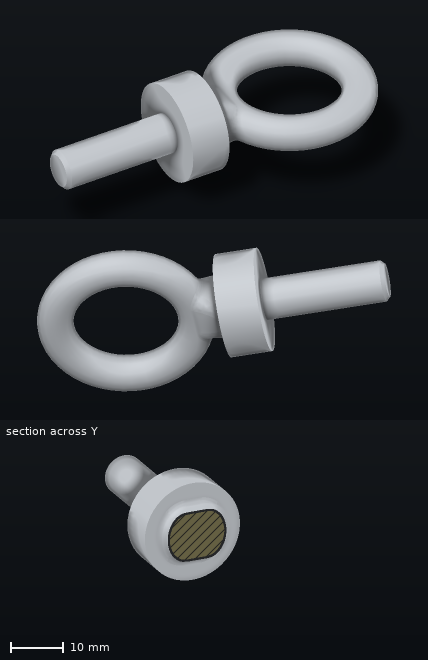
import cadquery as cq

shank_diameter = 8.0
shank_length = 24.0
shank_chamfer = 0.75

collar_diameter = 20.0
collar_height = 8.0

eye_inner_diameter = 20.0
eye_wire_diameter = 7.0
eye_gap = 2.0
eye_centre_radius = (eye_inner_diameter + eye_wire_diameter) / 2
eye_outer_radius = eye_inner_diameter / 2 + eye_wire_diameter
eye_centre_y = collar_height + eye_gap + eye_outer_radius

neck_diameter = 12.0
neck_height = eye_gap + eye_wire_diameter / 2
neck_top_y = collar_height + neck_height
neck_base_thickness = 11.5
neck_top_thickness = 6.9
flat_edge_fillet = 3.0
collar_fillet = 1.5
eye_fillet = 1.5


def make_cylinder(diameter, start_y, end_y):
    """Cylinder about the Y axis between two Y positions."""
    disc = cq.Workplane("XZ", origin=(0, start_y, 0)).circle(diameter / 2)
    return disc.extrude(start_y - end_y)


def make_shank():
    """Plain shank with a chamfered free end."""
    shank = make_cylinder(shank_diameter, -shank_length, 0)
    return shank.faces("<Y").chamfer(shank_chamfer)


def make_eye():
    """Round-wire ring lying in the XY plane."""
    section = cq.Workplane("XZ", origin=(0, eye_centre_y, 0)).moveTo(eye_centre_radius, 0)
    return section.circle(eye_wire_diameter / 2).revolve(360, (0, 0, 0), (0, 1, 0))


def make_neck():
    """Round post cut by two sloping flats, with the side edges of the flats rounded."""
    half_base = neck_base_thickness / 2
    half_top = neck_top_thickness / 2
    outline = [
        (collar_height, -half_base),
        (collar_height, half_base),
        (neck_top_y, half_top),
        (neck_top_y, -half_top),
    ]
    wedge = cq.Workplane("YZ").polyline(outline).close().extrude(neck_diameter, both=True)
    post = make_cylinder(neck_diameter, collar_height, neck_top_y).intersect(wedge)
    return post.edges("%ELLIPSE").fillet(flat_edge_fillet)


def fillet_neck_to_collar(body):
    """Fillet the foot of the neck, which is the inner outline of the collar's top face."""
    collar_top = body.faces(cq.selectors.NearestToPointSelector((0, collar_height, 0))).val()
    foot_edges = collar_top.innerWires()[0].Edges()
    return body.newObject(foot_edges).fillet(collar_fillet)


def fillet_neck_to_eye(body):
    """Fillet every edge where the neck runs into the round wire of the eye."""
    neck_zone = cq.selectors.BoxSelector(
        (-neck_diameter / 2, collar_height, -eye_wire_diameter),
        (neck_diameter / 2, neck_top_y, eye_wire_diameter),
    )
    return body.faces("%TORUS").edges(neck_zone).fillet(eye_fillet)


collar = make_cylinder(collar_diameter, 0, collar_height)
bolt = fillet_neck_to_collar(collar.union(make_neck()))
bolt = fillet_neck_to_eye(bolt.union(make_eye()))
result = bolt.union(make_shank())